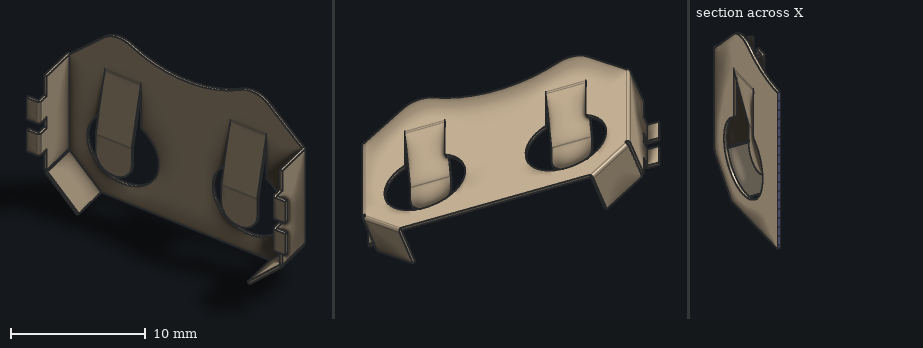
import math

import cadquery as cq


sheet = 0.254
overall_width = 22.86
overall_depth = 4.318

plate_half_width = 10.287
bottom_half_width = 7.445
corner_angle = 45
corner_wall_rise = (plate_half_width - bottom_half_width) / math.tan(math.radians(corner_angle))
shoulder_z = 11.85
peak_x = 5.88
peak_z = 15.31
peak_radius = 2.0
dip_z = 13.74

wall_depth = 3.302
side_wall_bottom_z = 2.92
corner_wall_trim = 0.06
foot_width = 2.032
foot_gap = 1.016
feet_center_z = 7.44

tongue_x = 5.55
tongue_width = 3.175
tongue_root_z = shoulder_z
tongue_depth = 1.524
tongue_angle = math.radians(13.6)
root_bend_radius = 0.6
tip_bend_radius = 0.38
window_radius = 3.175
window_z = 4.83


def vertical_plane():
    """Workplane facing -Y, with local axes along X and Z."""
    return cq.Workplane("XZ")


def both_sides(body):
    return body.union(body.mirror("YZ"))


def plate():
    peak_center_z = peak_z - peak_radius
    dip_drop = peak_z - dip_z
    radius_sum = (peak_x**2 + dip_drop**2) / (2 * dip_drop)
    notch_radius = radius_sum - peak_radius
    notch_x = peak_x * notch_radius / radius_sum
    notch_rise = (dip_z + notch_radius - peak_center_z) / radius_sum
    notch_z = peak_center_z + peak_radius * notch_rise

    run = plate_half_width - peak_x
    rise = shoulder_z - peak_center_z
    tangent_angle = math.atan2(rise, run) + math.acos(peak_radius / math.hypot(run, rise))
    slope_x = peak_x + peak_radius * math.cos(tangent_angle)
    slope_z = peak_center_z + peak_radius * math.sin(tangent_angle)

    return (
        vertical_plane()
        .moveTo(-bottom_half_width, 0)
        .lineTo(bottom_half_width, 0)
        .lineTo(plate_half_width, corner_wall_rise)
        .lineTo(plate_half_width, shoulder_z)
        .lineTo(slope_x, slope_z)
        .threePointArc((peak_x, peak_z), (notch_x, notch_z))
        .threePointArc((0, dip_z), (-notch_x, notch_z))
        .threePointArc((-peak_x, peak_z), (-slope_x, slope_z))
        .lineTo(-plate_half_width, shoulder_z)
        .lineTo(-plate_half_width, corner_wall_rise)
        .close()
        .extrude(sheet)
    )


def tongue_openings():
    """Round window plus the slot left where the tongue is bent out of the plate."""
    centers = [(-tongue_x, window_z), (tongue_x, window_z)]
    windows = vertical_plane().pushPoints(centers).circle(window_radius).extrude(sheet)
    slot_height = tongue_root_z - window_z
    slot_centers = [(x, z + slot_height / 2) for x, z in centers]
    slots = vertical_plane().pushPoints(slot_centers).rect(tongue_width, slot_height).extrude(sheet)
    return windows.union(slots)


def bent_wall(length):
    """Wall folded off an edge along local Z at X = 0, rounded outside and sharp inside."""
    return (
        cq.Workplane("XY")
        .moveTo(0, 0)
        .lineTo(0, -wall_depth)
        .lineTo(sheet, -wall_depth)
        .lineTo(sheet, -sheet)
        .radiusArc((0, 0), -sheet)
        .close()
        .extrude(length)
    )


def side_wall():
    wall = bent_wall(shoulder_z - side_wall_bottom_z)
    return wall.translate((plate_half_width, 0, side_wall_bottom_z))


def corner_wall():
    edge_length = corner_wall_rise / math.cos(math.radians(corner_angle))
    wall = bent_wall(edge_length - corner_wall_trim)
    tilted = wall.rotate((0, 0, 0), (0, 1, 0), corner_angle)
    return tilted.translate((bottom_half_width, 0, 0))


def solder_feet():
    foot_inner_y = -overall_depth + sheet
    wall_outer_x = plate_half_width + sheet
    foot_end_x = overall_width / 2
    foot = (
        cq.Workplane("XY")
        .moveTo(plate_half_width, -wall_depth)
        .lineTo(plate_half_width, foot_inner_y)
        .radiusArc((wall_outer_x, -overall_depth), -sheet)
        .lineTo(foot_end_x, -overall_depth)
        .lineTo(foot_end_x, foot_inner_y)
        .lineTo(wall_outer_x, foot_inner_y)
        .lineTo(wall_outer_x, -wall_depth)
        .close()
        .extrude(foot_width)
    )
    lower_foot = foot.translate((0, 0, feet_center_z - foot_gap / 2 - foot_width))
    upper_foot = foot.translate((0, 0, feet_center_z + foot_gap / 2))
    return lower_foot.union(upper_foot)


def tongue():
    sin_a = math.sin(tongue_angle)
    cos_a = math.cos(tongue_angle)
    bend_radii = root_bend_radius + tip_bend_radius
    front_offset = tongue_depth - sheet
    ramp_length = (front_offset - bend_radii * (1 - cos_a)) / sin_a
    tip_bend_z = tongue_root_z - bend_radii * sin_a - ramp_length * cos_a
    tip_z = window_z - tongue_width / 2

    def bend_point(center_y, center_z, radius):
        """Point at the ramp end of a bend, as (Y, Z); the root bend is positive, the tip negative."""
        return center_y + radius * cos_a, center_z - radius * sin_a

    root_center = (-sheet - root_bend_radius, tongue_root_z)
    tip_center = (-tongue_depth + tip_bend_radius, tip_bend_z)
    root_back_radius = root_bend_radius + sheet
    tip_back_radius = tip_bend_radius - sheet

    strip = (
        cq.Workplane("YZ")
        .moveTo(0, tongue_root_z)
        .lineTo(-sheet, tongue_root_z)
        .radiusArc(bend_point(*root_center, root_bend_radius), root_bend_radius)
        .lineTo(*bend_point(*tip_center, -tip_bend_radius))
        .radiusArc((-tongue_depth, tip_bend_z), -tip_bend_radius)
        .lineTo(-tongue_depth, tip_z)
        .lineTo(-tongue_depth + sheet, tip_z)
        .lineTo(-tongue_depth + sheet, tip_bend_z)
        .radiusArc(bend_point(*tip_center, -tip_back_radius), tip_back_radius)
        .lineTo(*bend_point(*root_center, root_back_radius))
        .radiusArc((0, tongue_root_z), -root_back_radius)
        .close()
        .extrude(tongue_width / 2, both=True)
    )

    straight_height = tongue_root_z - window_z
    outline = (
        vertical_plane()
        .moveTo(-tongue_width / 2, window_z)
        .threePointArc((0, tip_z), (tongue_width / 2, window_z))
        .line(0, straight_height)
        .line(-tongue_width, 0)
        .close()
        .extrude(tongue_depth)
    )
    return strip.intersect(outline).translate((tongue_x, 0, 0))


result = plate().cut(tongue_openings())
for feature in (side_wall(), corner_wall(), solder_feet(), tongue()):
    result = result.union(both_sides(feature))